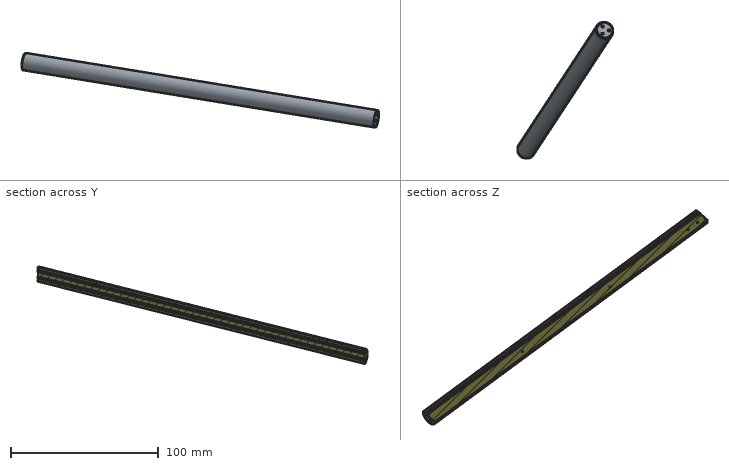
import cadquery as cq

ROD_LENGTH = 250.0
ROD_DIAMETER = 12.0
END_CHAMFER = 0.6

HOLE_COUNT = 3
HOLE_DIAMETER = 1.2
HOLE_CIRCLE_RADIUS = ROD_DIAMETER / 4
FIRST_HOLE_ANGLE = 180.0


def make_rod():
    """Solid rod centred on the X axis, starting at X = 0, chamfered at that end."""
    rod = cq.Workplane("YZ").circle(ROD_DIAMETER / 2).extrude(ROD_LENGTH)
    return rod.faces("<X").chamfer(END_CHAMFER)


def make_holes():
    """Equally spaced parallel holes running the full length of the rod."""
    return (
        cq.Workplane("YZ")
        .polarArray(HOLE_CIRCLE_RADIUS, FIRST_HOLE_ANGLE, 360, HOLE_COUNT)
        .circle(HOLE_DIAMETER / 2)
        .extrude(ROD_LENGTH)
    )


result = make_rod().cut(make_holes())